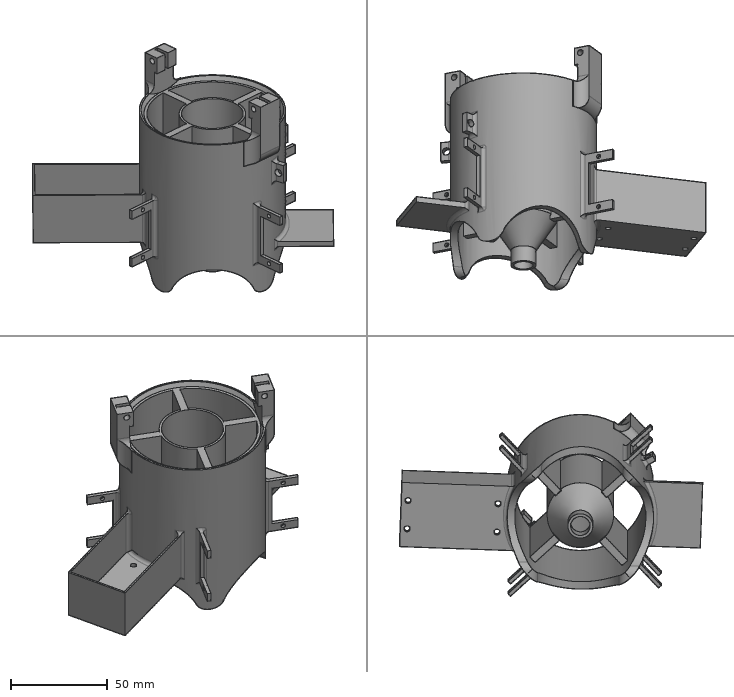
import cadquery as cq
import math

tube_radius = 37.9
bore_radius = 33.9
tube_height = 92.1
rim_depth = 2.2
rim_top_radius = 36.9
rim_floor_radius = 35.4

arch_height = 18.5
arch_radius = 22.6
leg_angles = (0, 90, 180, 270)

funnel_radius = 17.2
funnel_bore_radius = 16.0
cone_top_radius = 14.5
cone_top = 24.8
cone_bottom = 8.3
cone_lead_in = 2.8
nozzle_radius = 6.5
nozzle_bore_radius = 5.03
rib_width = 4.0
rib_bottom = 22.0
rib_overlap = 0.7
ledge_height = tube_height - rim_depth

lug_top = 112.5
lug_outer = 42.0
lug_inner = 35.3
lug_head_inner = 33.3
lug_head_bottom = 103.3
lug_half_width = 7.0
lug_flare = 6.0
lug_foot_radius = lug_outer - lug_inner
lug_bottom = 77.5
lug_rim_fillet = 4.1
lug_slot_width = 2.0
lug_slot_end = 40.8
lug_hole_diameter = 3.2
lug_hole_x = 36.8
lug_hole_z = 109.5

bracket_bottom = 19.3
bracket_top = 52.3
bracket_reach = 55.0
bracket_back = 41.0
bracket_arm_height = 5.0
bracket_thickness = 1.9
bracket_offset = -5.1
bracket_hole_diameter = 2.2
bracket_hole_x = 47.0
bracket_hole_inset = 2.5

tray_angle = 225
shelf_angle = 45
tray_reach = 92.8
shelf_reach = 62.7
tray_width = 34.2
tray_offset = -2.5
tray_bottom = 22.0
tray_top = 50.0
tray_wall = 1.0
floor_thickness = 3.0
tray_hole_diameter = 3.0
tray_hole_reaches = (42.8, 89.4)
tray_hole_spacing = 15.0

tab_angles = (13.5, 73.5)
tab_reach = 43.8
tab_width = 3.0
tab_bottom = 62.0
tab_top = 72.3
tab_hole_diameter = 4.0
tab_hole_reach = 40.8

root_fillet = 1.9
embed = 27.5
seam_angle = 120
on_wall_tolerance = 0.01


def box(x_range, y_range, z_range):
    """Axis-aligned block between the given limits."""
    lengths = [high - low for low, high in (x_range, y_range, z_range)]
    corner = (x_range[0], y_range[0], z_range[0])
    return cq.Workplane("XY").box(*lengths, centered=False).translate(corner)


def turned(shape, angle):
    """The shape turned about the tube axis."""
    return shape.rotate((0, 0, 0), (0, 0, 1), angle)


def lies_on_tube(edge):
    """True for an edge on the outside of the tube that touches neither end of it."""
    points = [edge.positionAt(t) for t in (0, 0.3, 1)]
    on_wall = all(abs(math.hypot(p.x, p.y) - tube_radius) < on_wall_tolerance for p in points)
    off_ends = all(0 < p.z < tube_height for p in points)
    return on_wall and off_ends


def bracket():
    """U-shaped bracket with two drilled arms, pointing along +X."""
    sides = (bracket_offset - bracket_thickness / 2, bracket_offset + bracket_thickness / 2)
    block = box((embed, bracket_reach), sides, (bracket_bottom, bracket_top))
    gap_heights = (bracket_bottom + bracket_arm_height, bracket_top - bracket_arm_height)
    block = block.cut(box((bracket_back, bracket_reach), sides, gap_heights))
    hole_heights = (bracket_bottom + bracket_hole_inset, bracket_top - bracket_hole_inset)
    holes = (
        cq.Workplane("XZ", origin=(0, bracket_offset, 0))
        .pushPoints([(bracket_hole_x, z) for z in hole_heights])
        .circle(bracket_hole_diameter / 2)
        .extrude(bracket_thickness, both=True)
    )
    return block.cut(holes)


def tray():
    """Open-topped tray with four holes in its floor, pointing along +X."""
    sides = (tray_offset - tray_width / 2, tray_offset + tray_width / 2)
    inner_sides = (sides[0] + tray_wall, sides[1] - tray_wall)
    block = box((embed, tray_reach), sides, (tray_bottom, tray_top))
    pocket = box((embed, tray_reach - tray_wall), inner_sides, (tray_bottom + floor_thickness, tray_top))
    spots = [(x, tray_offset + side * tray_hole_spacing / 2) for x in tray_hole_reaches for side in (-1, 1)]
    holes = (
        cq.Workplane("XY", origin=(0, 0, tray_bottom))
        .pushPoints(spots)
        .circle(tray_hole_diameter / 2)
        .extrude(floor_thickness)
    )
    return block.cut(pocket).cut(holes)


def shelf():
    """Flat shelf level with the tray floor, pointing along +X."""
    sides = (tray_offset - tray_width / 2, tray_offset + tray_width / 2)
    return box((embed, shelf_reach), sides, (tray_bottom, tray_bottom + floor_thickness))


def tab():
    """Small upright tab pointing along +X."""
    return box((embed, tab_reach), (-tab_width / 2, tab_width / 2), (tab_bottom, tab_top))


def tab_hole():
    """Drill for a tab, long enough to pass through its root fillets."""
    return (
        cq.Workplane("XZ", origin=(tab_hole_reach, 0, (tab_bottom + tab_top) / 2))
        .circle(tab_hole_diameter / 2)
        .extrude(root_fillet + tab_width, both=True)
    )


def bore():
    """Space inside the tube, widening in a taper at the rim."""
    return (
        cq.Workplane("XZ")
        .polyline([
            (0, 0),
            (bore_radius, 0),
            (bore_radius, ledge_height),
            (rim_floor_radius, ledge_height),
            (rim_top_radius, tube_height),
            (0, tube_height),
        ])
        .close()
        .revolve(360, (0, 0, 0), (0, 1, 0))
    )


def arch_cutter():
    """Arch with flared feet, crossing the tube along X and rounding the leg tips."""
    tip = tube_radius * math.sin(math.pi / 4)
    drop = arch_radius - arch_height
    foot_radius = (tip**2 + drop**2 - arch_radius**2) / (2 * (arch_radius - drop))
    share = arch_radius / (arch_radius + foot_radius)
    join = (tip * share, share * (foot_radius + drop) - drop)
    turn = math.atan2(foot_radius - join[1], tip - join[0])
    middle_turn = (turn + math.pi / 2) / 2
    foot_middle = (tip - foot_radius * math.cos(middle_turn), foot_radius * (1 - math.sin(middle_turn)))
    return (
        cq.Workplane("YZ")
        .moveTo(-tip, 0)
        .threePointArc((-foot_middle[0], foot_middle[1]), (-join[0], join[1]))
        .threePointArc((0, arch_height), join)
        .threePointArc(foot_middle, (tip, 0))
        .close()
        .extrude(2 * tube_radius, both=True)
    )


def funnel():
    """Inner tube that narrows through a cone to a nozzle."""
    return (
        cq.Workplane("XZ")
        .polyline([
            (nozzle_bore_radius, 0),
            (nozzle_radius, 0),
            (nozzle_radius, cone_bottom),
            (funnel_radius, cone_top),
            (funnel_radius, ledge_height),
            (funnel_bore_radius, ledge_height),
            (funnel_bore_radius, cone_top + cone_lead_in),
            (cone_top_radius, cone_top),
            (nozzle_bore_radius, cone_bottom),
        ])
        .close()
        .revolve(360, (0, 0, 0), (0, 1, 0))
    )


def rib():
    """Upright rib along +X between the funnel and the tube."""
    return box(
        (funnel_bore_radius + rib_overlap, bore_radius + rib_overlap),
        (-rib_width / 2, rib_width / 2),
        (rib_bottom, ledge_height),
    )


def lug():
    """Slotted and drilled fork lug on the +X side, flared into the tube wall and rim."""
    flare_width = lug_half_width + lug_flare
    flare_start = lug_outer - lug_flare
    plan = (
        cq.Workplane("XY")
        .moveTo(lug_head_inner, -flare_width)
        .lineTo(flare_start, -flare_width)
        .radiusArc((lug_outer, -lug_half_width), lug_flare)
        .lineTo(lug_outer, lug_half_width)
        .radiusArc((flare_start, flare_width), lug_flare)
        .lineTo(lug_head_inner, flare_width)
        .close()
        .extrude(lug_top)
    )
    rim_flare_width = lug_half_width + lug_rim_fillet
    front = (
        cq.Workplane("YZ")
        .moveTo(-flare_width, 0)
        .lineTo(flare_width, 0)
        .lineTo(flare_width, tube_height)
        .lineTo(rim_flare_width, tube_height)
        .radiusArc((lug_half_width, tube_height + lug_rim_fillet), lug_rim_fillet)
        .lineTo(lug_half_width, lug_top)
        .lineTo(-lug_half_width, lug_top)
        .lineTo(-lug_half_width, tube_height + lug_rim_fillet)
        .radiusArc((-rim_flare_width, tube_height), lug_rim_fillet)
        .lineTo(-flare_width, tube_height)
        .close()
        .extrude(lug_outer)
    )
    side = (
        cq.Workplane("XZ", origin=(0, flare_width, 0))
        .moveTo(lug_inner, lug_bottom)
        .radiusArc((lug_outer, lug_bottom + lug_foot_radius), -lug_foot_radius)
        .lineTo(lug_outer, lug_top)
        .lineTo(lug_head_inner, lug_top)
        .lineTo(lug_head_inner, lug_head_bottom)
        .lineTo(lug_inner, lug_head_bottom)
        .close()
        .extrude(2 * flare_width)
    )
    slot = box(
        (lug_head_inner, lug_slot_end), (-lug_slot_width / 2, lug_slot_width / 2), (lug_head_bottom, lug_top)
    )
    hole = (
        cq.Workplane("XZ", origin=(lug_hole_x, 0, lug_hole_z))
        .circle(lug_hole_diameter / 2)
        .extrude(lug_outer, both=True)
    )
    return plan.intersect(front).intersect(side).cut(slot).cut(hole)


body = turned(cq.Workplane("XY").circle(tube_radius).extrude(tube_height), seam_angle)
for angle in leg_angles:
    body = body.union(turned(bracket(), angle))
for angle in tab_angles:
    body = body.union(turned(tab(), angle))
body = body.union(turned(tray(), tray_angle)).union(turned(shelf(), shelf_angle))
root_edges = [edge for edge in body.edges().vals() if lies_on_tube(edge)]
body = body.newObject(root_edges).fillet(root_fillet)

body = body.cut(bore())
for angle in tab_angles:
    body = body.cut(turned(tab_hole(), angle))
for angle in leg_angles[:2]:
    body = body.cut(turned(arch_cutter(), angle + 45))

body = body.union(funnel())
for angle in leg_angles:
    body = body.union(turned(rib(), angle))
for angle in (0, 180):
    body = body.union(turned(lug(), angle))

result = body